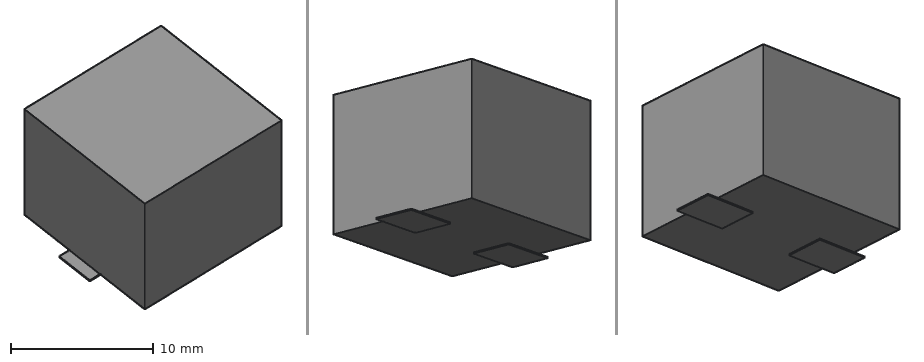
import cadquery as cq

overall_length = 14.7
overall_height = 10.4
housing_side = 12.8
terminal_width = 3.25
terminal_length = 4.2
terminal_thickness = 0.1

housing_height = overall_height - terminal_thickness
terminal_offset = (overall_length - terminal_length) / 2


def make_housing():
    """Plain square block standing on top of the terminals."""
    return (
        cq.Workplane("XY")
        .workplane(offset=terminal_thickness)
        .rect(housing_side, housing_side)
        .extrude(housing_height)
    )


def make_terminal(side):
    """Flat strip under the housing, reaching past its -Y (side=-1) or +Y (side=1) face."""
    return (
        cq.Workplane("XY")
        .center(0, side * terminal_offset)
        .rect(terminal_width, terminal_length)
        .extrude(terminal_thickness)
    )


housing = make_housing()
terminals = [make_terminal(side) for side in (-1, 1)]

result = cq.Compound.makeCompound([housing.val(), *[terminal.val() for terminal in terminals]])